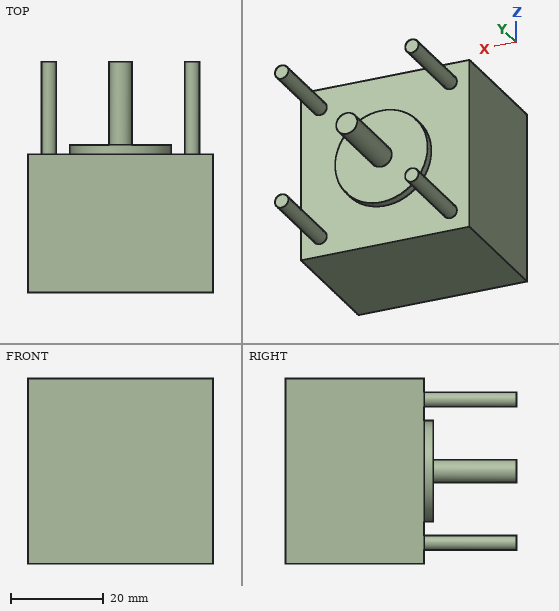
import cadquery as cq

body_width = 40.11
body_height = 40.13
body_length = 30.0

pilot_diameter = 22.0
pilot_thickness = 2.0
shaft_diameter = 5.0
shaft_length = 20.0

screw_diameter = 3.2
screw_length = 20.0
screw_spacing = 31.0


def rear_rod(x, z, diameter, length):
    """Round rod standing on the rear face (Y = 0) and pointing along +Y."""
    axis_start = cq.Vector(x, 0, z)
    return cq.Workplane(cq.Solid.makeCylinder(diameter / 2, length, axis_start, cq.Vector(0, 1, 0)))


def make_body():
    """Block extending from the rear face toward -Y."""
    block = cq.Workplane("XY").box(body_width, body_length, body_height)
    return block.translate((0, -body_length / 2, 0))


result = make_body()
result = result.union(rear_rod(0, 0, pilot_diameter, pilot_thickness))
result = result.union(rear_rod(0, 0, shaft_diameter, shaft_length))

for x_side in (-1, 1):
    for z_side in (-1, 1):
        screw_x = x_side * screw_spacing / 2
        screw_z = z_side * screw_spacing / 2
        result = result.union(rear_rod(screw_x, screw_z, screw_diameter, screw_length))